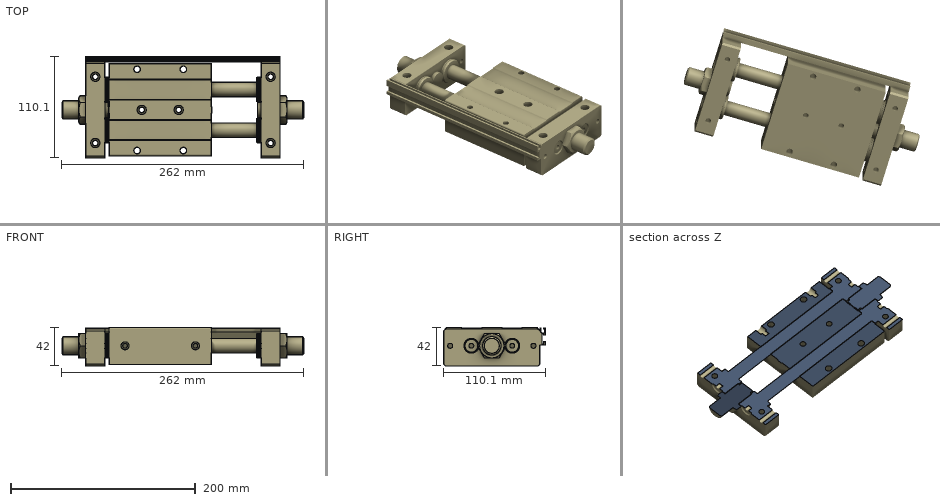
import cadquery as cq


total_length = 262.0
end_gap = 169.3
plate_length = 20.7
plate_width = 104.3
plate_bottom = -22.0
plate_top = 18.3
plate_chamfer = 2.0

rod_diameter = 16.0
rod_spacing = 44.3

ring_length = 4.7
ring_diameter = 27.0
ring_neck_diameter = 25.7
ring_groove_width = 0.8
ring_lobe_width = 1.0

plate_inner_x = end_gap / 2
plate_outer_x = plate_inner_x + plate_length
plate_middle_x = (plate_inner_x + plate_outer_x) / 2
rod_y = rod_spacing / 2

mount_hole_diameter = 5.8
mount_bore_diameter = 10.0
mount_bore_depth = 9.2
mount_hole_spacing = 71.8
side_hole_diameter = 5.5
side_hole_spacing = 90.0
rod_socket_diameter = 5.2
rod_socket_depth = 5.2
rod_recess_diameter = 16.0
rod_recess_floor_diameter = 14.0
rod_recess_depth = 1.0

rail_bottom = 0.8
rail_top = 19.0
rail_depth = 5.8
rail_web = 2.4
rail_shelf_bottom = 12.8
rail_shelf_top = 14.0
rail_foot_thickness = 1.3
rail_wall = 1.0
rail_lip_width = 2.0
rail_upper_lip_end = 11.5
rail_lower_lip_end = 4.5
rail_bead = 0.8
rail_trough_chamfer = 0.8

carriage_length = 110.5
carriage_width = 100.0
carriage_bottom = -20.5
carriage_top = 20.0
carriage_fillet = 1.8
groove_depth = 0.8
groove_inner_y = 10.5
groove_outer_y = 33.3
groove_wall_run = 1.0
corner_hole_diameter = 6.8
corner_hole_pitch_x = 50.0
corner_hole_pitch_y = 88.0
center_hole_diameter = 5.8
center_bore_diameter = 10.0
center_bore_depth = 9.2
center_hole_pitch = 40.0
port_diameter = 5.0
port_bore_diameter = 8.6
port_bore_depth = 7.9
port_depth = 13.0
port_pitch = 76.2
stop_diameter = 6.8
stop_height = 0.8
carriage_start_x = ring_length - plate_inner_x
carriage_middle_x = carriage_start_x + carriage_length / 2

thread_diameter = 20.0
thread_chamfer_length = 1.3
thread_chamfer_radial = 1.8
tip_diameter = 16.8
tip_length = ring_length - stop_height
nut_flats = 27.0
nut_length = 7.5
nut_face_diameter = 26.2
nut_chamfer_length = 1.5
HEX_CORNERS_PER_FLATS = 2 / 3 ** 0.5


def rod_along_x(diameter, start_x, end_x, y=0):
    """Cylinder parallel to X."""
    return (
        cq.Workplane("YZ", origin=(start_x, y, 0))
        .circle(diameter / 2)
        .extrude(end_x - start_x)
    )


def hole_along_z(diameter, x, y, low, high):
    """Cutting cylinder parallel to Z."""
    return cq.Workplane("XY", origin=(x, y, low)).circle(diameter / 2).extrude(high - low)


def block(length, width, bottom, top, middle_x):
    """Box centred on Y = 0."""
    return (
        cq.Workplane("XY", origin=(middle_x, 0, bottom))
        .rect(length, width)
        .extrude(top - bottom)
    )


def bumper_ring():
    """Two-lobed ring around a rod on the right end plate."""
    lobe = ring_diameter / 2
    neck = ring_neck_diameter / 2
    groove_end = plate_inner_x - ring_groove_width
    outer_lobe_end = groove_end - ring_lobe_width
    inner_lobe_start = outer_lobe_end - ring_groove_width
    inner_lobe_end = inner_lobe_start - ring_lobe_width
    return (
        cq.Workplane("XY")
        .moveTo(plate_inner_x, 0)
        .lineTo(plate_inner_x, neck)
        .lineTo(groove_end, neck)
        .lineTo(groove_end, lobe)
        .lineTo(outer_lobe_end, lobe)
        .lineTo(outer_lobe_end, neck)
        .lineTo(inner_lobe_start, neck)
        .lineTo(inner_lobe_start, lobe)
        .lineTo(inner_lobe_end, lobe)
        .lineTo(plate_inner_x - ring_length, neck)
        .lineTo(plate_inner_x - ring_length, 0)
        .close()
        .revolve(360, (0, 0, 0), (1, 0, 0))
    )


def rod_end_recess():
    """Conical recess with a small socket, on the outer face at a rod end."""
    cone = (
        cq.Workplane("YZ", origin=(plate_outer_x, 0, 0))
        .circle(rod_recess_diameter / 2)
        .workplane(offset=-rod_recess_depth)
        .circle(rod_recess_floor_diameter / 2)
        .loft()
    )
    floor_x = plate_outer_x - rod_recess_depth
    return cone.union(rod_along_x(rod_socket_diameter, floor_x - rod_socket_depth, plate_outer_x))


def end_plate():
    """Right end plate with its holes and bumper rings."""
    plate = block(plate_length, plate_width, plate_bottom, plate_top, plate_middle_x)
    plate = plate.edges("|X").chamfer(plate_chamfer)
    plate = plate.cut(rod_along_x(thread_diameter, plate_inner_x, plate_outer_x))
    for side in (-1, 1):
        mount_y = side * mount_hole_spacing / 2
        bore_floor = plate_top - mount_bore_depth
        plate = plate.cut(
            hole_along_z(mount_hole_diameter, plate_middle_x, mount_y, plate_bottom, plate_top)
        )
        plate = plate.cut(
            hole_along_z(mount_bore_diameter, plate_middle_x, mount_y, bore_floor, plate_top)
        )
        side_y = side * side_hole_spacing / 2
        plate = plate.cut(rod_along_x(side_hole_diameter, plate_inner_x, plate_outer_x, side_y))
        plate = plate.cut(rod_end_recess().translate((0, side * rod_y, 0)))
        plate = plate.union(bumper_ring().translate((0, side * rod_y, 0)))
    return plate


def sensor_rail():
    """Rail with an upper trough and a sideways C-slot, along the +Y side of the end plates."""
    back = plate_width / 2
    front = back + rail_depth
    web = back + rail_web
    lip = front - rail_lip_width
    return (
        cq.Workplane("YZ", origin=(-plate_outer_x, 0, 0))
        .moveTo(back, rail_bottom)
        .lineTo(front, rail_bottom)
        .lineTo(front, rail_lower_lip_end)
        .lineTo(lip, rail_lower_lip_end)
        .lineTo(lip, rail_bottom + rail_foot_thickness)
        .lineTo(web, rail_bottom + rail_foot_thickness)
        .lineTo(web, rail_shelf_bottom)
        .lineTo(lip, rail_shelf_bottom)
        .lineTo(lip, rail_upper_lip_end)
        .lineTo(front, rail_upper_lip_end)
        .lineTo(front, rail_top)
        .lineTo(front - rail_wall - rail_bead, rail_top)
        .lineTo(front - rail_wall - rail_bead, rail_top - rail_bead)
        .lineTo(front - rail_wall, rail_top - rail_bead)
        .lineTo(front - rail_wall, rail_shelf_top)
        .lineTo(back + rail_wall + rail_trough_chamfer, rail_shelf_top)
        .lineTo(back + rail_wall, rail_shelf_top + rail_trough_chamfer)
        .lineTo(back + rail_wall, rail_top)
        .lineTo(back, rail_top)
        .close()
        .extrude(2 * plate_outer_x)
    )


def make_frame():
    """Two mirrored end plates joined by the guide rods and the sensor rail."""
    right_plate = end_plate()
    frame = right_plate.union(right_plate.mirror("YZ"))
    for side in (-1, 1):
        frame = frame.union(rod_along_x(rod_diameter, -plate_inner_x, plate_inner_x, side * rod_y))
    return frame.union(sensor_rail())


def make_carriage():
    """Sliding block on the two rods."""
    end_x = carriage_start_x + carriage_length
    body = block(carriage_length, carriage_width, carriage_bottom, carriage_top, carriage_middle_x)
    body = body.edges("|X and >Z").fillet(carriage_fillet)

    groove_floor = carriage_top - groove_depth
    groove = (
        cq.Workplane("YZ", origin=(carriage_start_x, 0, 0))
        .moveTo(groove_inner_y, carriage_top)
        .lineTo(groove_inner_y + groove_wall_run, groove_floor)
        .lineTo(groove_outer_y - groove_wall_run, groove_floor)
        .lineTo(groove_outer_y, carriage_top)
        .close()
        .extrude(carriage_length)
    )
    body = body.cut(groove).cut(groove.mirror("XZ"))
    for side in (-1, 1):
        body = body.cut(rod_along_x(rod_diameter, carriage_start_x, end_x, side * rod_y))

    for side_x in (-1, 1):
        corner_x = carriage_middle_x + side_x * corner_hole_pitch_x / 2
        for side_y in (-1, 1):
            corner_y = side_y * corner_hole_pitch_y / 2
            body = body.cut(
                hole_along_z(corner_hole_diameter, corner_x, corner_y, carriage_bottom, carriage_top)
            )

        center_x = carriage_middle_x + side_x * center_hole_pitch / 2
        bore_floor = carriage_top - center_bore_depth
        body = body.cut(hole_along_z(center_hole_diameter, center_x, 0, carriage_bottom, carriage_top))
        body = body.cut(hole_along_z(center_bore_diameter, center_x, 0, bore_floor, carriage_top))

        port_x = carriage_middle_x + side_x * port_pitch / 2
        port_plane = cq.Workplane("XZ", origin=(port_x, -carriage_width / 2, 0))
        body = body.cut(port_plane.circle(port_diameter / 2).extrude(-port_depth))
        body = body.cut(port_plane.circle(port_bore_diameter / 2).extrude(-port_bore_depth))

    body = body.union(rod_along_x(stop_diameter, carriage_start_x - stop_height, carriage_start_x))
    return body.union(rod_along_x(stop_diameter, end_x, end_x + stop_height))


def make_shock_absorber():
    """Right-hand shock absorber: threaded barrel, inner tip and lock nut."""
    end_x = total_length / 2
    thread_radius = thread_diameter / 2
    tip_radius = tip_diameter / 2
    tip_x = plate_inner_x - tip_length
    barrel = (
        cq.Workplane("XY")
        .moveTo(tip_x, 0)
        .lineTo(tip_x, tip_radius)
        .lineTo(plate_inner_x, tip_radius)
        .lineTo(plate_inner_x, thread_radius)
        .lineTo(end_x - thread_chamfer_length, thread_radius)
        .lineTo(end_x, thread_radius - thread_chamfer_radial)
        .lineTo(end_x, 0)
        .close()
        .revolve(360, (0, 0, 0), (1, 0, 0))
    )

    nut_corners = nut_flats * HEX_CORNERS_PER_FLATS
    nut_end_x = plate_outer_x + nut_length
    nut = cq.Workplane("YZ", origin=(plate_outer_x, 0, 0)).polygon(6, nut_corners).extrude(nut_length)
    chamfered_envelope = (
        cq.Workplane("XY")
        .moveTo(plate_outer_x, 0)
        .lineTo(plate_outer_x, nut_corners / 2)
        .lineTo(nut_end_x - nut_chamfer_length, nut_corners / 2)
        .lineTo(nut_end_x, nut_face_diameter / 2)
        .lineTo(nut_end_x, 0)
        .close()
        .revolve(360, (0, 0, 0), (1, 0, 0))
    )
    return barrel.union(nut.intersect(chamfered_envelope))


frame = make_frame()
carriage = make_carriage()
shock_absorbers = [make_shock_absorber().rotate((0, 0, 0), (0, 0, 1), angle) for angle in (0, 180)]

result = cq.Compound.makeCompound(
    [frame.val(), carriage.val(), *[absorber.val() for absorber in shock_absorbers]]
)